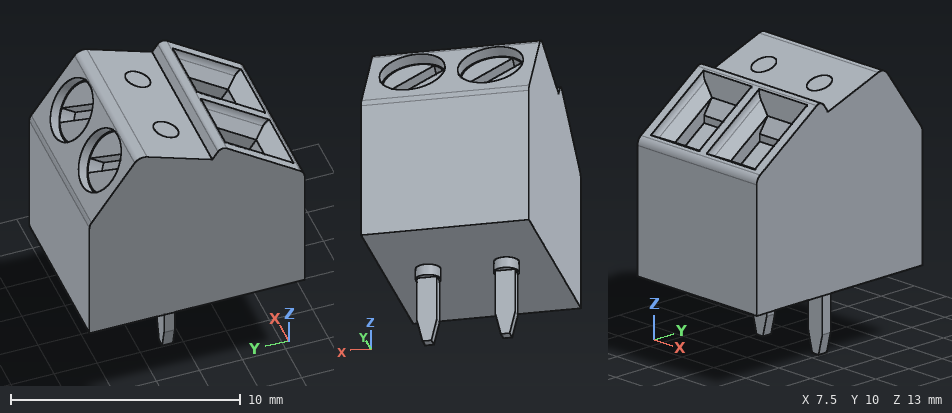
import cadquery as cq
import math


WIDTH = 7.5
DEPTH = 10.0
HEIGHT = 13
UNDERSIDE_Z = 3.5
POLE_PITCH = 3.5
POLE_XS = [-POLE_PITCH / 2, POLE_PITCH / 2]

WIRE_TILT = 35
SCREW_TILT = 55
TOP_TILT = 20
FRONT_SHOULDER_Z = 9.78
CROWN_Y = 2.5
NOTCH_Y = -0.7
EDGE_RADIUS = 0.5
STEP_RADIUS = 0.3

ENTRY_Y = -3.07
ENTRY_WIDTH = 3.02
ENTRY_LENGTH = 3.89
FUNNEL_DEPTH = 0.79
FUNNEL_UPPER_INSET = 0.7
FUNNEL_LOWER_INSET = 0.48
FUNNEL_SIDE_RADIUS = 0.45
SIDE_TAPER = 45
SHAFT_WIDTH = 1.73

CLAMP_FLOOR_DEPTH = 1.39
CLAMP_BASE_DEPTH = 2.08
RAMP_END_UP = 0.44
RAMP_END_DEPTH = 1.1

SCREW_Y = 3.77
SCREW_HOLE_DIAMETER = 2.9
SCREW_DIAMETER = 2.8
SCREW_RECESS = 0.5
SCREW_LENGTH = 1.04
SLOT_WIDTH = 0.65
SLOT_DEPTH = 0.78
SLOT_ANGLE = 45

PIN_Y = 0.7
PIN_DIAMETER = 1.1
COLLAR_HEIGHT = 0.5
BLADE_WIDTH = 0.9
BLADE_THICKNESS = 0.51
TIP_WIDTH = 0.4
TIP_HEIGHT = 1.0
PLUG_BOTTOM_Z = 11.44


def tangent(degrees):
    return math.tan(math.radians(degrees))


def sine(degrees):
    return math.sin(math.radians(degrees))


def cosine(degrees):
    return math.cos(math.radians(degrees))


crown_lean = (SCREW_TILT - TOP_TILT) / 2
crown_reach = EDGE_RADIUS / cosine((SCREW_TILT + TOP_TILT) / 2)
peak_y = CROWN_Y + crown_reach * sine(crown_lean)
peak_z = HEIGHT - EDGE_RADIUS + crown_reach * cosine(crown_lean)
notch_z = peak_z - (peak_y - NOTCH_Y) * tangent(TOP_TILT)


def screw_slope_z(y):
    return peak_z - (y - peak_y) * tangent(SCREW_TILT)


def wire_slope_z(y):
    return FRONT_SHOULDER_Z + (y + DEPTH / 2) * tangent(WIRE_TILT)


step_height = (wire_slope_z(NOTCH_Y) - notch_z) * cosine(WIRE_TILT)
step_y = NOTCH_Y - step_height * sine(WIRE_TILT)
step_z = notch_z + step_height * cosine(WIRE_TILT)


def wire_plane(x):
    """Frame on the wire entry slope: X across, Y up the slope, Z outward."""
    return cq.Plane(
        origin=(x, ENTRY_Y, wire_slope_z(ENTRY_Y)),
        xDir=(1, 0, 0),
        normal=(0, -sine(WIRE_TILT), cosine(WIRE_TILT)),
    )


def screw_plane(x):
    """Frame on the screw slope: X across, Y down the slope, Z outward."""
    return cq.Plane(
        origin=(x, SCREW_Y, screw_slope_z(SCREW_Y)),
        xDir=(1, 0, 0),
        normal=(0, sine(SCREW_TILT), cosine(SCREW_TILT)),
    )


shaft_top = ENTRY_LENGTH / 2 - FUNNEL_UPPER_INSET
shaft_bottom = -ENTRY_LENGTH / 2 + FUNNEL_LOWER_INSET


def make_block():
    outline = [
        (-DEPTH / 2, UNDERSIDE_Z),
        (DEPTH / 2, UNDERSIDE_Z),
        (DEPTH / 2, screw_slope_z(DEPTH / 2)),
        (peak_y, peak_z),
        (NOTCH_Y, notch_z),
        (step_y, step_z),
        (-DEPTH / 2, FRONT_SHOULDER_Z),
    ]
    block = cq.Workplane("YZ").polyline(outline).close().extrude(WIDTH / 2, both=True)
    rounded = [
        (DEPTH / 2, screw_slope_z(DEPTH / 2), EDGE_RADIUS),
        (peak_y, peak_z, EDGE_RADIUS),
        (step_y, step_z, STEP_RADIUS),
        (-DEPTH / 2, FRONT_SHOULDER_Z, EDGE_RADIUS),
    ]
    for y, z, radius in rounded:
        block = block.edges(cq.NearestToPointSelector((0, y, z))).fillet(radius)
    return block


def make_funnel():
    """Funnel cavity in the slope frame: flat ends, side walls rounded at the rim."""
    lengthwise = (
        cq.Workplane("YZ")
        .polyline([
            (-ENTRY_LENGTH / 2, 0),
            (ENTRY_LENGTH / 2, 0),
            (shaft_top, -FUNNEL_DEPTH),
            (shaft_bottom, -FUNNEL_DEPTH),
        ])
        .close()
        .extrude(ENTRY_WIDTH, both=True)
    )
    rim = ENTRY_WIDTH / 2
    floor = SHAFT_WIDTH / 2
    arc_centre = rim - FUNNEL_SIDE_RADIUS
    half_taper = SIDE_TAPER / 2
    arc_middle = (
        arc_centre + FUNNEL_SIDE_RADIUS * cosine(half_taper),
        -FUNNEL_SIDE_RADIUS * sine(half_taper),
    )
    arc_end = (
        arc_centre + FUNNEL_SIDE_RADIUS * cosine(SIDE_TAPER),
        -FUNNEL_SIDE_RADIUS * sine(SIDE_TAPER),
    )
    crosswise = (
        cq.Workplane("XZ")
        .moveTo(-rim, 0)
        .lineTo(rim, 0)
        .threePointArc(arc_middle, arc_end)
        .lineTo(floor, -FUNNEL_DEPTH)
        .lineTo(-floor, -FUNNEL_DEPTH)
        .lineTo(-arc_end[0], arc_end[1])
        .threePointArc((-arc_middle[0], arc_middle[1]), (-rim, 0))
        .close()
        .extrude(ENTRY_LENGTH, both=True)
    )
    return lengthwise.intersect(crosswise)


def make_wire_entry(x):
    """Funnel and the straight shaft below it, down to the base of the clamp."""
    shaft = cq.Workplane().box(
        SHAFT_WIDTH, shaft_top - shaft_bottom, CLAMP_BASE_DEPTH - FUNNEL_DEPTH
    ).translate((0, (shaft_top + shaft_bottom) / 2, -(CLAMP_BASE_DEPTH + FUNNEL_DEPTH) / 2))
    cavity = make_funnel().union(shaft)
    return cq.Workplane(cavity.val().moved(cq.Location(wire_plane(x))))


def make_screw_hole(x):
    """Wide mouth down to the screw face, then a seat that fits the screw."""
    mouth = cq.Workplane(screw_plane(x)).circle(SCREW_HOLE_DIAMETER / 2).extrude(-SCREW_RECESS)
    seat = (
        cq.Workplane(screw_plane(x))
        .circle(SCREW_DIAMETER / 2)
        .extrude(-SCREW_RECESS - SCREW_LENGTH)
    )
    return mouth.union(seat)


def make_plug_column(x):
    """Round column on the pin axis, taller than the housing."""
    return (
        cq.Workplane("XY", origin=(x, PIN_Y, PLUG_BOTTOM_Z))
        .circle(PIN_DIAMETER / 2)
        .extrude(HEIGHT - PLUG_BOTTOM_Z)
    )


def make_housing(block):
    housing = block
    for x in POLE_XS:
        housing = housing.cut(make_wire_entry(x))
        housing = housing.cut(make_screw_hole(x))
        housing = housing.cut(make_plug_column(x))
    return housing


def make_clamp(x):
    """Block filling the shaft bottom: ramp, upright step and flat floor."""
    step_drop = CLAMP_FLOOR_DEPTH - RAMP_END_DEPTH
    floor_start = RAMP_END_UP - step_drop * tangent(WIRE_TILT)
    section = [
        (shaft_top, -FUNNEL_DEPTH),
        (RAMP_END_UP, -RAMP_END_DEPTH),
        (floor_start, -CLAMP_FLOOR_DEPTH),
        (shaft_bottom, -CLAMP_FLOOR_DEPTH),
        (shaft_bottom, -CLAMP_BASE_DEPTH),
        (shaft_top, -CLAMP_BASE_DEPTH),
    ]
    clamp = cq.Workplane("YZ").polyline(section).close().extrude(SHAFT_WIDTH / 2, both=True)
    return clamp.val().moved(cq.Location(wire_plane(x)))


def make_screw(x):
    """Slotted screw sunk below the screw slope."""
    face = cq.Workplane(screw_plane(x)).workplane(offset=-SCREW_RECESS)
    body = face.circle(SCREW_DIAMETER / 2).extrude(-SCREW_LENGTH)
    slot = (
        face.transformed(rotate=(0, 0, SLOT_ANGLE))
        .rect(2 * SCREW_DIAMETER, SLOT_WIDTH)
        .extrude(-SLOT_DEPTH)
    )
    return body.cut(slot).val()


def make_plug(x, block):
    """Test-point plug, flush with the top slope."""
    return make_plug_column(x).intersect(block).val()


def make_pin(x):
    """Solder pin: round collar under the housing and a flat blade with a tapered tip."""
    blade = (
        cq.Workplane("XZ", origin=(x, PIN_Y, 0))
        .polyline([
            (-TIP_WIDTH / 2, 0),
            (TIP_WIDTH / 2, 0),
            (BLADE_WIDTH / 2, TIP_HEIGHT),
            (BLADE_WIDTH / 2, UNDERSIDE_Z),
            (-BLADE_WIDTH / 2, UNDERSIDE_Z),
            (-BLADE_WIDTH / 2, TIP_HEIGHT),
        ])
        .close()
        .extrude(BLADE_THICKNESS / 2, both=True)
    )
    collar = (
        cq.Workplane("XY", origin=(x, PIN_Y, UNDERSIDE_Z))
        .circle(PIN_DIAMETER / 2)
        .extrude(-COLLAR_HEIGHT)
    )
    return blade.union(collar).val()


housing_block = make_block()
housing = make_housing(housing_block)
clamps = [make_clamp(x) for x in POLE_XS]
screws = [make_screw(x) for x in POLE_XS]
plugs = [make_plug(x, housing_block) for x in POLE_XS]
pins = [make_pin(x) for x in POLE_XS]

result = cq.Compound.makeCompound([housing.val(), *clamps, *screws, *plugs, *pins])